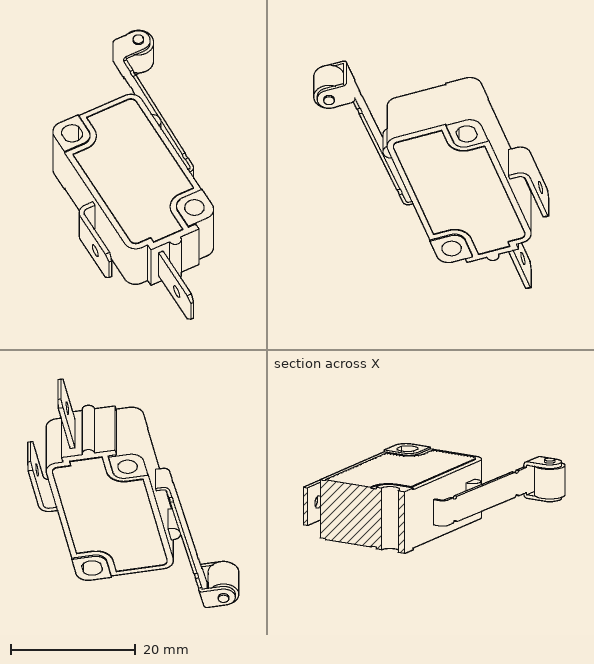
import cadquery as cq
import math


case_length = 27.8
case_width = 15.9
case_height = 10.3
case_corner_radius = 2.0
pad_step = 0.3
panel_step = 0.15
pad_size = 5.4
pad_inner_radius = 1.8
rim_width = 1.0
panel_notch_y = 4.2
hole_diameter = 3.1
hole_inset = 2.8
long_hole_length = 3.4

rim_bottom = pad_step
rim_top = case_height - pad_step
rim_height = rim_top - rim_bottom
mid_z = case_height / 2
embed_depth = 1.0

holder_depth = 1.1
holder_y_low = 3.1
holder_y_high = 11.85
bump_diameter = 2.0
bump_y = 7.5
holder_face_x = case_length + holder_depth

blade_width = 6.3
blade_thickness = 0.8
blade_hole_diameter = 2.0
blade_tip_length = 1.0
blade_tip_thinning = 0.15
no_blade_y = 4.9
no_blade_tip_x = 39.55
no_blade_hole_x = 35.0
com_blade_x = 15.0
com_blade_bottom_y = -3.15
com_blade_tip_x = 26.1
com_blade_hole_x = 21.7
com_bend_radius = 1.7

plunger_x = 4.9
plunger_radius = 1.35
plunger_straight = 0.4
plunger_width = 4.3

lever_mid_z = 4.8
lever_width = 4.2
lever_thickness = 0.55
lever_slope = math.radians(1.25)
lever_leg_x = 16.25
lever_top_y = 18.0
lever_bend_radius = 0.95
lever_notch_width = 1.1
lever_notch_depth = 0.3
lever_notch_xs = (-5.2, 13.15)

roller_x = -9.95
roller_y = 21.69
roller_diameter = 4.92
roller_width = 4.9
pin_diameter = 1.7
pin_length = 6.8
bracket_width = 3.8
bracket_thickness = 0.6
bracket_bend_radius = 0.65
bracket_height = roller_width + 2 * bracket_thickness
bracket_left_x = roller_x - bracket_width / 2


def slab(sketch, z_low, height):
    """Extrude an outline drawn in X and Y from z_low upward."""
    return sketch.extrude(height).translate((0, 0, z_low))


def cylinder(x, y, diameter, z_mid, height):
    """Cylinder with its axis along Z."""
    return slab(cq.Workplane("XY").center(x, y).circle(diameter / 2), z_mid - height / 2, height)


def rounded_case(z_low, height):
    """Prism with the rounded outline of the case."""
    outline = cq.Workplane("XY").rect(case_length, case_width, centered=False)
    return slab(outline, z_low, height).edges("|Z").fillet(case_corner_radius)


def corner_pads():
    """Pads at the lower left and upper right corners, over the full case height."""
    lower = cq.Workplane("XY").box(pad_size, pad_size, case_height, centered=False)
    lower = lower.edges("|Z and >X and >Y").fillet(pad_inner_radius)
    case_middle = (case_length / 2, case_width / 2, 0)
    axis_end = (case_length / 2, case_width / 2, 1)
    upper = lower.rotate(case_middle, axis_end, 180)
    return lower.union(upper).intersect(rounded_case(0, case_height))


def label_panels():
    """Low raised panels on the top and the underside, clear of the corner pads."""
    near = rim_width
    right = case_length - rim_width
    top = case_width - rim_width
    pad_gap = pad_size + rim_width
    inner_radius = pad_inner_radius + rim_width
    corner = case_corner_radius - rim_width
    outline = (
        cq.Workplane("XY")
        .moveTo(near, pad_gap)
        .lineTo(near, top - corner)
        .radiusArc((near + corner, top), corner)
        .lineTo(case_length - pad_gap, top)
        .lineTo(case_length - pad_gap, case_width - pad_gap + inner_radius)
        .radiusArc((case_length - pad_gap + inner_radius, case_width - pad_gap), -inner_radius)
        .lineTo(case_length, case_width - pad_gap)
        .lineTo(case_length, panel_notch_y)
        .lineTo(right, panel_notch_y)
        .lineTo(right, near + corner)
        .radiusArc((right - corner, near), corner)
        .lineTo(pad_gap, near)
        .lineTo(pad_gap, pad_gap - inner_radius)
        .radiusArc((pad_gap - inner_radius, pad_gap), -inner_radius)
        .close()
    )
    return slab(outline, rim_bottom - panel_step, rim_height + 2 * panel_step)


def terminal_holder():
    """Block on the right end of the case, with a half-round bump."""
    bump_radius = bump_diameter / 2
    inner_x = case_length - embed_depth
    outline = (
        cq.Workplane("XY")
        .moveTo(inner_x, holder_y_low)
        .lineTo(holder_face_x, holder_y_low)
        .lineTo(holder_face_x, bump_y - bump_radius)
        .threePointArc((holder_face_x + bump_radius, bump_y), (holder_face_x, bump_y + bump_radius))
        .lineTo(holder_face_x, holder_y_high)
        .lineTo(inner_x, holder_y_high)
        .close()
    )
    return slab(outline, rim_bottom, rim_height)


def mounting_holes():
    """Flattened round hole at the lower left corner and plain one at the upper right."""
    long_hole = cylinder(hole_inset, hole_inset, long_hole_length, mid_z, case_height)
    flats = cq.Workplane("XY").box(long_hole_length, hole_diameter, case_height)
    long_hole = long_hole.intersect(flats.translate((hole_inset, hole_inset, mid_z)))
    round_hole = cylinder(
        case_length - hole_inset, case_width - hole_inset, hole_diameter, mid_z, case_height
    )
    return long_hole.union(round_hole)


def straight_blade(start_x, tip_x, mid_y, hole_x):
    """Blade along X with a bevelled, thinned tip and a round hole."""
    half_thick = blade_thickness / 2
    tip_half_thick = half_thick - blade_tip_thinning
    shoulder_x = tip_x - blade_tip_length
    plan = cq.Workplane("XY").polyline([
        (start_x, mid_y - half_thick),
        (shoulder_x, mid_y - half_thick),
        (tip_x, mid_y - tip_half_thick),
        (tip_x, mid_y + tip_half_thick),
        (shoulder_x, mid_y + half_thick),
        (start_x, mid_y + half_thick),
    ]).close()
    half_width = blade_width / 2
    tip_half_width = half_width - blade_tip_length
    side = cq.Workplane("XZ", origin=(0, mid_y, 0)).polyline([
        (start_x, mid_z - half_width),
        (shoulder_x, mid_z - half_width),
        (tip_x, mid_z - tip_half_width),
        (tip_x, mid_z + tip_half_width),
        (shoulder_x, mid_z + half_width),
        (start_x, mid_z + half_width),
    ]).close()
    hole = cq.Workplane("XZ", origin=(hole_x, mid_y, mid_z)).circle(blade_hole_diameter / 2)
    blade = slab(plan, mid_z - half_width, blade_width)
    blade = blade.intersect(side.extrude(blade_thickness, both=True))
    return blade.cut(hole.extrude(blade_thickness, both=True))


def com_terminal():
    """Blade below the case, joined to it by a rounded bend and an upright leg."""
    inner_radius = com_bend_radius - blade_thickness
    bend_end_x = com_blade_x + com_bend_radius
    bend_top_y = com_blade_bottom_y + com_bend_radius
    leg = (
        cq.Workplane("XY")
        .moveTo(com_blade_x, embed_depth)
        .lineTo(com_blade_x, bend_top_y)
        .radiusArc((bend_end_x, com_blade_bottom_y), -com_bend_radius)
        .lineTo(bend_end_x, com_blade_bottom_y + blade_thickness)
        .radiusArc((com_blade_x + blade_thickness, bend_top_y), inner_radius)
        .lineTo(com_blade_x + blade_thickness, embed_depth)
        .close()
    )
    blade_y = com_blade_bottom_y + blade_thickness / 2
    blade = straight_blade(bend_end_x, com_blade_tip_x, blade_y, com_blade_hole_x)
    return slab(leg, mid_z - blade_width / 2, blade_width).union(blade)


def plunger():
    """Round-nosed button under the lever."""
    nose_y = case_width + plunger_straight
    stem = cq.Workplane("XY").box(2 * plunger_radius, 2 * plunger_straight, plunger_width)
    stem = stem.translate((plunger_x, case_width, mid_z))
    return stem.union(cylinder(plunger_x, nose_y, 2 * plunger_radius, mid_z, plunger_width))


def lever_top_at(x):
    """Y of the upper side of the sloping lever arm."""
    return lever_top_y + (lever_leg_x - x) * math.tan(lever_slope)


def lever_notches():
    """Shallow round notches in both long edges of the lever arm."""
    radius = (lever_notch_width ** 2 / 4 + lever_notch_depth ** 2) / (2 * lever_notch_depth)
    axis_offset = lever_width / 2 - lever_notch_depth + radius
    cutter = cq.Workplane("XZ", origin=(0, lever_top_y, lever_mid_z)).pushPoints(
        [(x, side * axis_offset) for x in lever_notch_xs for side in (-1, 1)]
    )
    return cutter.circle(radius).extrude(2 * lever_thickness, both=True)


def fillet_upright_edge(arm, x, y, radius):
    """Round the edge of the lever that runs along Z through (x, y)."""
    corner = cq.selectors.NearestToPointSelector((x, y, lever_mid_z))
    return arm.edges("|Z").edges(corner).fillet(radius)


def lever():
    """Sloping arm that turns down into an upright leg in the case."""
    left_x = bracket_left_x
    leg_left_x = lever_leg_x - lever_thickness
    profile = cq.Workplane("XY").polyline([
        (left_x, lever_top_at(left_x)),
        (lever_leg_x, lever_top_at(lever_leg_x)),
        (lever_leg_x, case_width - embed_depth),
        (leg_left_x, case_width - embed_depth),
        (leg_left_x, lever_top_at(leg_left_x) - lever_thickness),
        (left_x, lever_top_at(left_x) - lever_thickness),
    ]).close()
    arm = slab(profile, lever_mid_z - lever_width / 2, lever_width)
    inner_top_y = lever_top_at(leg_left_x) - lever_thickness
    arm = fillet_upright_edge(arm, lever_leg_x, lever_top_at(lever_leg_x), lever_bend_radius)
    arm = fillet_upright_edge(arm, leg_left_x, inner_top_y, lever_bend_radius - lever_thickness)
    return arm.cut(lever_notches())


def roller_bracket():
    """U-shaped bracket with round-ended arms above and below the roller."""
    half_width = bracket_width / 2
    right_x = roller_x + half_width
    left_top_y = lever_top_at(bracket_left_x)
    right_top_y = lever_top_at(right_x)
    arm_end_y = roller_y + half_width
    outline = (
        cq.Workplane("XY")
        .moveTo(bracket_left_x, left_top_y - lever_thickness)
        .lineTo(bracket_left_x, roller_y)
        .threePointArc((roller_x, arm_end_y), (right_x, roller_y))
        .lineTo(right_x, right_top_y - lever_thickness)
        .close()
    )
    bracket = slab(outline, lever_mid_z - bracket_height / 2, bracket_height)
    bracket = bracket.faces("<Y").edges("not |Z").fillet(bracket_bend_radius)
    opening = cq.Workplane("XY").polyline([
        (bracket_left_x, left_top_y),
        (right_x, right_top_y),
        (right_x, arm_end_y),
        (bracket_left_x, arm_end_y),
    ]).close()
    return bracket.cut(slab(opening, lever_mid_z - roller_width / 2, roller_width))


def roller():
    """Roller and the pin that carries it."""
    wheel = cylinder(roller_x, roller_y, roller_diameter, lever_mid_z, roller_width)
    return wheel.union(cylinder(roller_x, roller_y, pin_diameter, lever_mid_z, pin_length))


case = rounded_case(rim_bottom, rim_height).union(corner_pads()).union(label_panels())
case = case.union(terminal_holder()).cut(mounting_holes())

no_terminal = straight_blade(case_length, no_blade_tip_x, no_blade_y, no_blade_hole_x)
terminals = no_terminal.union(com_terminal())

actuator = lever().union(roller_bracket()).union(roller())

result = case.union(terminals).union(plunger()).union(actuator)